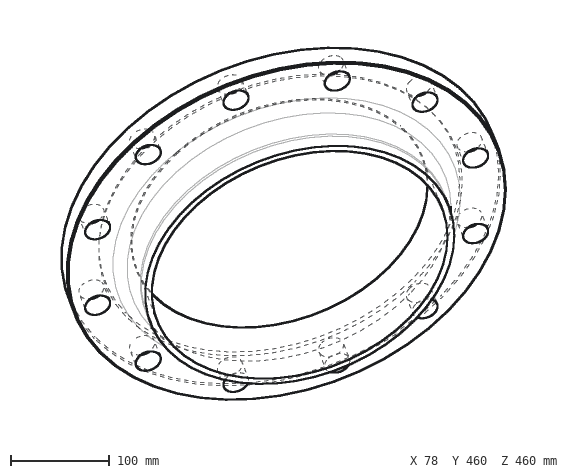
import cadquery as cq
import math

flange_diameter = 460.0
pipe_diameter = 324.0
bore_diameter = 309.5
total_length = 78.0

raised_face_diameter = 378.0
raised_face_base_diameter = 381.0
raised_face_height = 4.0

flange_back = 28.0
rim_chamfer = 1.5
bore_chamfer = 1.0

hub_base_diameter = 345.0
pipe_end_length = 16.0
hub_fillet = 13.0
pipe_blend = 9.0

bolt_count = 12
bolt_hole_diameter = 26.0
bolt_circle_diameter = 410.0

flange_radius = flange_diameter / 2
pipe_radius = pipe_diameter / 2
bore_radius = bore_diameter / 2
hub_base_radius = hub_base_diameter / 2

taper_end = total_length - pipe_end_length
taper_angle = math.atan2(hub_base_radius - pipe_radius, taper_end - flange_back)


def taper_point(distance):
    """Point on the taper line at a distance from the flange back."""
    return (
        flange_back + distance * math.cos(taper_angle),
        hub_base_radius - distance * math.sin(taper_angle),
    )


def flange_body():
    """Revolve the half section (X along the axis, Y as radius)."""
    hub_corner_angle = math.pi / 2 - taper_angle
    hub_tangent = hub_fillet * math.tan(hub_corner_angle / 2)
    blend_tangent = pipe_blend * math.tan(taper_angle / 2)
    taper_length = math.hypot(taper_end - flange_back, hub_base_radius - pipe_radius)

    section = (
        cq.Workplane("XY")
        .moveTo(bore_chamfer, bore_radius)
        .lineTo(0, bore_radius + bore_chamfer)
        .lineTo(0, raised_face_diameter / 2)
        .lineTo(raised_face_height, raised_face_base_diameter / 2)
        .lineTo(raised_face_height, flange_radius - rim_chamfer)
        .lineTo(raised_face_height + rim_chamfer, flange_radius)
        .lineTo(flange_back - rim_chamfer, flange_radius)
        .lineTo(flange_back, flange_radius - rim_chamfer)
        .lineTo(flange_back, hub_base_radius + hub_tangent)
        .radiusArc(taper_point(hub_tangent), -hub_fillet)
        .lineTo(*taper_point(taper_length - blend_tangent))
        .radiusArc((taper_end + blend_tangent, pipe_radius), -pipe_blend)
        .lineTo(total_length, pipe_radius)
        .lineTo(total_length, bore_radius)
        .close()
    )
    return section.revolve(360, (0, 0, 0), (1, 0, 0))


def bolt_holes():
    """Through holes on the bolt circle, straddling the Y and Z axes."""
    half_pitch = 180 / bolt_count
    return (
        cq.Workplane("YZ")
        .polarArray(bolt_circle_diameter / 2, half_pitch, 360, bolt_count)
        .circle(bolt_hole_diameter / 2)
        .extrude(flange_back)
    )


result = flange_body().cut(bolt_holes())